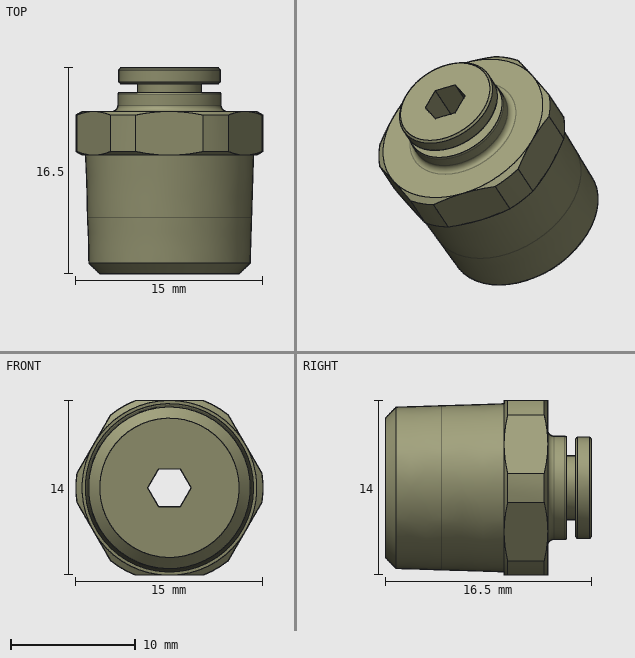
import cadquery as cq
import math

length = 16.5

thread_tip_radius = 5.58
thread_chamfer_end = 0.85
gauge_plane = 4.5
taper_slope = 1 / 32
thread_start_radius = 6.47

hex_start = 9.5
hex_end = 13.0
hex_flats = 14.0
hex_corner_diameter = 15.0
hex_chamfer_angle = 30.0

collar_radius = 4.14
collar_end = 14.5
collar_chamfer_length = 0.16
collar_chamfer_depth = 0.05
flare_radius = 0.5

neck_radius = 2.57
button_start = 15.21
button_radius = 4.08
button_chamfer = 0.16

socket_flats = 3.0


def revolve_profile(points):
    """Revolve (radius, y) points about the Y axis, closing along that axis."""
    outline = [(0, points[0][1])] + points + [(0, points[-1][1])]
    return cq.Workplane("XY").polyline(outline).close().revolve(360, (0, 0, 0), (0, 1, 0))


def hex_prism(flats, start, end):
    """Hexagonal prism along Y, with two corners on the X axis."""
    corner_diameter = flats / math.cos(math.radians(30))
    plane = cq.Workplane("XZ", origin=(0, start, 0))
    return plane.polygon(6, corner_diameter).extrude(start - end)


def thread_radius(y):
    return thread_start_radius + (y - thread_chamfer_end) * taper_slope


def make_thread():
    tip = revolve_profile([
        (thread_tip_radius, 0),
        (thread_start_radius, thread_chamfer_end),
        (thread_radius(gauge_plane), gauge_plane),
    ])
    root = revolve_profile([
        (thread_radius(gauge_plane), gauge_plane),
        (thread_radius(hex_start), hex_start),
    ])
    return tip.union(root, clean=False)


def make_hex():
    face_radius = hex_flats / 2
    corner_radius = hex_corner_diameter / 2
    chamfer_length = (corner_radius - face_radius) * math.tan(math.radians(hex_chamfer_angle))
    turned = revolve_profile([
        (face_radius, hex_start),
        (corner_radius, hex_start + chamfer_length),
        (corner_radius, hex_end - chamfer_length),
        (face_radius, hex_end),
    ])
    return hex_prism(hex_flats, hex_start, hex_end).intersect(turned)


def make_collar():
    flare_mid = flare_radius * (1 - math.sqrt(0.5))
    return (
        cq.Workplane("XY")
        .moveTo(0, hex_end)
        .lineTo(collar_radius + flare_radius, hex_end)
        .threePointArc(
            (collar_radius + flare_mid, hex_end + flare_mid),
            (collar_radius, hex_end + flare_radius),
        )
        .lineTo(collar_radius, collar_end - collar_chamfer_length)
        .lineTo(collar_radius - collar_chamfer_depth, collar_end)
        .lineTo(0, collar_end)
        .close()
        .revolve(360, (0, 0, 0), (0, 1, 0))
    )


def make_button():
    return revolve_profile([
        (neck_radius, collar_end),
        (neck_radius, button_start),
        (button_radius - button_chamfer, button_start),
        (button_radius, button_start + button_chamfer),
        (button_radius, length - button_chamfer),
        (button_radius - button_chamfer, length),
    ])


body = make_thread()
for section in (make_hex(), make_collar(), make_button()):
    body = body.union(section, clean=False)
result = body.cut(hex_prism(socket_flats, 0, length), clean=False)